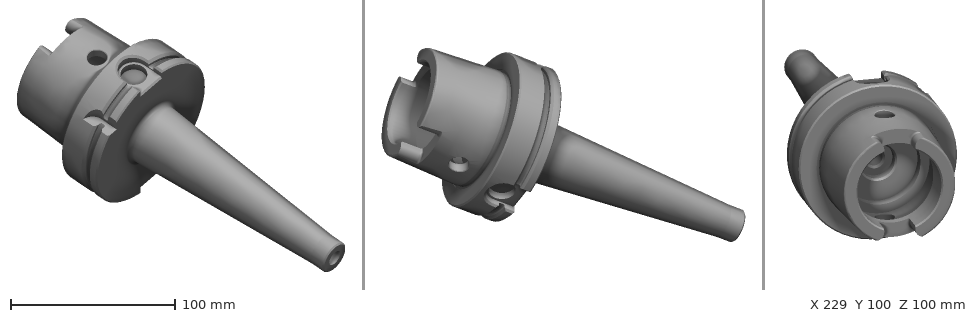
import cadquery as cq
import math

total_length = 229.0

flange_start = 50.0
taper_end = 47.5
taper_ratio = 0.045
shank_small_radius = 35.3
taper_large_radius = shank_small_radius + taper_ratio * taper_end
shank_edge_radius = 1.1
relief_radius = 37.0
relief_slope_length = 1.1
relief_outer_radius = 39.0
relief_face_depth = 0.7

flange_diameter = 100.0
flange_radius = flange_diameter / 2
flange_end = 79.0
flange_edge = 1.0
groove_radius = 46.0
groove_center = 70.0
groove_floor_width = 4.0
groove_mouth_width = 6.9
groove_bevel = 1.5
groove_corner = 0.7

neck_fillet = 2.7
neck_large_radius = 20.0
neck_small_radius = 10.5
nose_length = 10.3
nose_edge = 1.0
nose_start = total_length - nose_length

bore_radius = 26.5
undercut_start = 19.7
undercut_end = 43.5
undercut_radius = 30.7
inner_bore_radius = 25.0
bore_depth = 50.4
bore_chamfer = 1.0
counterbore_radius = 11.0
counterbore_chamfer = 1.1
counterbore_depth = 6.9
through_radius = 5.0
through_chamfer = 1.4

drive_width = 19.7
drive_depth_top = 10.0
drive_depth_bottom = 14.7
drive_edge_radius = 5.0
drive_floor_radius = 1.1

cross_hole_x = 34.8
cross_hole_radius = 6.2
cross_hole_chamfer = 0.5

keyway_center_x = 64.8
keyway_radius = 9.8
keyway_floor = 44.0
keyway_bevel = 1.4
keyway_end_bevel = 1.1
pocket_radius = 8.2
pocket_depth = 5.0

notch_floor_z = 31.1
notch_wall_y = -31.5
notch_start = 58.5
notch_corner_radius = 8.2


def to_bottom(tool):
    """Turn a +Z side tool over to the -Z side."""
    return tool.rotate((0, 0, 0), (1, 0, 0), 180)


def make_body():
    """Revolve the outer profile about the X axis."""
    neck_start = flange_end + neck_fillet
    return (
        cq.Workplane("XY")
        .moveTo(0, 0)
        .lineTo(0, shank_small_radius)
        .lineTo(taper_end, taper_large_radius)
        .lineTo(taper_end + relief_slope_length, relief_radius)
        .lineTo(flange_start + relief_face_depth, relief_radius)
        .lineTo(flange_start + relief_face_depth, relief_outer_radius)
        .lineTo(flange_start, relief_outer_radius)
        .lineTo(flange_start, flange_radius - flange_edge)
        .lineTo(flange_start + flange_edge, flange_radius)
        .lineTo(flange_end - flange_edge, flange_radius)
        .lineTo(flange_end, flange_radius - flange_edge)
        .lineTo(flange_end, neck_large_radius + neck_fillet)
        .radiusArc((neck_start, neck_large_radius), -neck_fillet)
        .lineTo(nose_start, neck_small_radius)
        .lineTo(total_length - nose_edge, neck_small_radius)
        .lineTo(total_length, neck_small_radius - nose_edge)
        .lineTo(total_length, 0)
        .close()
        .revolve(360, (0, 0, 0), (1, 0, 0))
        .faces("<X")
        .edges()
        .fillet(shank_edge_radius)
    )


def make_groove():
    """Gripper groove around the flange, bevelled at both mouth edges."""
    mouth = groove_mouth_width / 2
    floor = groove_floor_width / 2
    return (
        cq.Workplane("XY")
        .moveTo(groove_center - mouth, flange_radius)
        .lineTo(groove_center - floor, flange_radius - groove_bevel)
        .lineTo(groove_center - floor, groove_radius + groove_corner)
        .lineTo(groove_center - floor + groove_corner, groove_radius)
        .lineTo(groove_center + floor - groove_corner, groove_radius)
        .lineTo(groove_center + floor, groove_radius + groove_corner)
        .lineTo(groove_center + floor, flange_radius - groove_bevel)
        .lineTo(groove_center + mouth, flange_radius)
        .close()
        .revolve(360, (0, 0, 0), (1, 0, 0))
    )


def make_bores():
    """Main bore, its stepped floor and the through hole, as one revolved tool."""
    step = bore_depth + counterbore_depth
    return (
        cq.Workplane("XY")
        .moveTo(0, 0)
        .lineTo(0, bore_radius + bore_chamfer)
        .lineTo(bore_chamfer, bore_radius)
        .lineTo(undercut_start, bore_radius)
        .lineTo(undercut_start, undercut_radius)
        .lineTo(undercut_end, undercut_radius)
        .lineTo(undercut_end, inner_bore_radius)
        .lineTo(bore_depth, inner_bore_radius)
        .lineTo(bore_depth, counterbore_radius + counterbore_chamfer)
        .lineTo(bore_depth + counterbore_chamfer, counterbore_radius)
        .lineTo(step, counterbore_radius)
        .lineTo(step, through_radius + through_chamfer)
        .lineTo(step + through_chamfer, through_radius)
        .lineTo(total_length, through_radius)
        .lineTo(total_length, 0)
        .close()
        .revolve(360, (0, 0, 0), (1, 0, 0))
    )


def make_drive_slot(depth):
    """Slot on the +Z side, with rounded outer edges that flare outward."""
    half = drive_width / 2
    flare = half + drive_edge_radius
    flare_z = math.sqrt(shank_small_radius**2 - flare**2)
    side = flange_radius
    top = flange_radius
    return (
        cq.Workplane("YZ")
        .moveTo(-half, 0)
        .lineTo(half, 0)
        .lineTo(half, flare_z - drive_edge_radius)
        .radiusArc((flare, flare_z), drive_edge_radius)
        .lineTo(side, flare_z)
        .lineTo(side, top)
        .lineTo(-side, top)
        .lineTo(-side, flare_z)
        .lineTo(-flare, flare_z)
        .radiusArc((-half, flare_z - drive_edge_radius), drive_edge_radius)
        .close()
        .extrude(depth)
        .faces(">X")
        .edges("|Z")
        .fillet(drive_floor_radius)
    )


def edges_in_box(x_range, half_width, z_range, side):
    """Select edges centred in a box about Y = 0, on the +Z side (1) or the -Z side (-1)."""
    return cq.selectors.BoxSelector(
        (x_range[0], -half_width, side * z_range[0]),
        (x_range[1], half_width, side * z_range[1]),
    )


def add_cross_hole(body):
    """Drill a radial hole right through the shank and break its outer rims."""
    hole = (
        cq.Workplane("XY", origin=(cross_hole_x, 0, -flange_radius))
        .circle(cross_hole_radius)
        .extrude(2 * flange_radius)
    )
    body = body.cut(hole)
    x_range = (cross_hole_x - cross_hole_radius, cross_hole_x + cross_hole_radius)
    for side in (1, -1):
        rim = edges_in_box(x_range, cross_hole_radius, (bore_radius, flange_radius), side)
        body = body.edges(rim).chamfer(cross_hole_chamfer)
    return body


def make_keyway():
    """Round-ended keyway on the +Z side, open toward +X, with a round pocket in its floor."""
    height = flange_radius - keyway_floor
    run = flange_end - keyway_center_x
    center = cq.Workplane("XY", origin=(keyway_center_x, 0, keyway_floor))
    channel = center.center(run / 2, 0).rect(run, 2 * keyway_radius).extrude(height)
    pocket = center.circle(pocket_radius).extrude(-pocket_depth)
    return center.circle(keyway_radius).extrude(height).union(channel).union(pocket)


def add_keyways(body):
    """Cut both keyways, then bevel their rims and the end edge of their floors."""
    body = body.cut(make_keyway()).cut(to_bottom(make_keyway()))
    rim_x = (flange_start + flange_edge, flange_end - flange_edge)
    rim_z = ((keyway_floor + flange_radius) / 2, flange_radius)
    margin = keyway_end_bevel
    end_x = (flange_end - margin, flange_end + margin)
    end_z = (keyway_floor - margin, keyway_floor + margin)
    for side in (1, -1):
        rim = edges_in_box(rim_x, keyway_radius + keyway_bevel, rim_z, side)
        body = body.edges(rim).chamfer(keyway_bevel)
        floor_end = edges_in_box(end_x, keyway_radius / 2, end_z, side)
        body = body.edges(floor_end).chamfer(keyway_end_bevel)
    return body


def make_notch():
    """Corner notch on the -Y +Z side of the flange, open toward +X."""
    return (
        cq.Workplane("XY", origin=(0, 0, notch_floor_z))
        .moveTo(flange_end, notch_wall_y)
        .lineTo(notch_start + notch_corner_radius, notch_wall_y)
        .radiusArc((notch_start, notch_wall_y - notch_corner_radius), -notch_corner_radius)
        .lineTo(notch_start, -flange_radius)
        .lineTo(flange_end, -flange_radius)
        .close()
        .extrude(flange_radius - notch_floor_z)
    )


result = (
    add_keyways(add_cross_hole(make_body()))
    .cut(make_bores())
    .cut(make_drive_slot(drive_depth_top))
    .cut(to_bottom(make_drive_slot(drive_depth_bottom)))
    .cut(make_groove())
    .cut(make_notch())
)